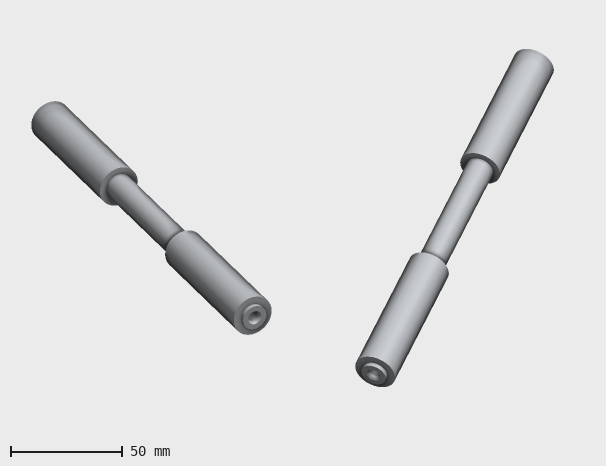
import cadquery as cq
import math

total_length = 201.0
sleeve_diameter = 19.0
spigot_diameter = 11.7
spigot_length = 2.0
shaft_diameter = 12.7
shaft_length = 63.5

hole_diameter = 5.0
hole_depth = 15.0
countersink_diameter = 6.6
countersink_angle = 90.0
drill_point_angle = 118.0

half_length = total_length / 2
sleeve_length = half_length - spigot_length - shaft_length / 2


def cylinder(diameter, length, center_x):
    """Solid cylinder along X, centred at center_x."""
    start = cq.Workplane("YZ", origin=(center_x - length / 2, 0, 0))
    return start.circle(diameter / 2).extrude(length)


def end_hole():
    """Countersunk hole with a conical drill point, entering from the -X end."""
    radius = hole_diameter / 2
    mouth_radius = countersink_diameter / 2
    mouth_depth = (mouth_radius - radius) / math.tan(math.radians(countersink_angle / 2))
    point_depth = radius / math.tan(math.radians(drill_point_angle / 2))
    end_x = -half_length
    profile = (
        cq.Workplane("XY")
        .moveTo(end_x, 0)
        .lineTo(end_x, mouth_radius)
        .lineTo(end_x + mouth_depth, radius)
        .lineTo(end_x + hole_depth, radius)
        .lineTo(end_x + hole_depth + point_depth, 0)
        .close()
    )
    return profile.revolve(360, (0, 0, 0), (1, 0, 0))


result = cylinder(shaft_diameter, shaft_length, 0)
for side in (-1, 1):
    sleeve_center = side * (shaft_length + sleeve_length) / 2
    spigot_center = side * (half_length - spigot_length / 2)
    result = result.union(cylinder(sleeve_diameter, sleeve_length, sleeve_center))
    result = result.union(cylinder(spigot_diameter, spigot_length, spigot_center))

hole = end_hole()
result = result.cut(hole).cut(hole.mirror("YZ"))